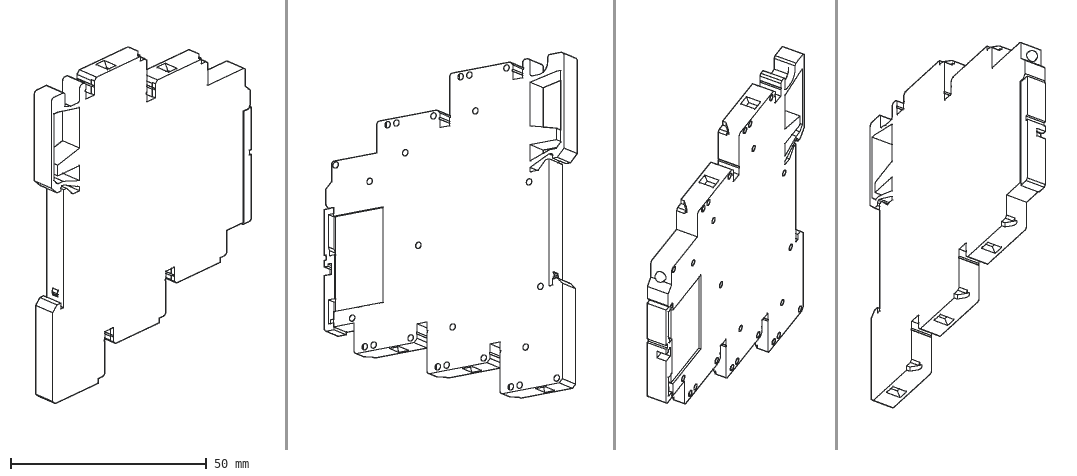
import cadquery as cq
import math

thickness = 6.1
depth = 74.2
height = 88.0

pitch_y = 22.5
pitch_z = 9.1
block_width = 19.5
slot_depth = 4.8
slot_width = pitch_y - block_width
corner_round = 0.9
corner_bevel = 1.0
top_blocks = [(35.3 + i * pitch_y, height - i * pitch_z) for i in (0, 1)]
bottom_blocks = [(19.8 + i * pitch_y, i * pitch_z) for i in (0, 1, 2)]
foot_front = 0.5
foot_width = bottom_blocks[0][0] - foot_front

rail_face = 4.6
upper_shelf = 70.6
lower_shelf = 26.4
rear_upper = 71.7
rear_bulge = 73.6
rear_lower = 71.1
arm_root = 10.5
slit_bottom = 57.7
slit_top = 58.9
lip_height = 60.2

cover_bottom = 25.7
cover_top = 58.3
cover_inset = 0.3
cover_pocket_depth = 2.6

pin_radius = 0.84
pin_depth = 0.1
pin_row_offset = 1.4
pin_row = (3.3, 6.1, 17.5)

panel_recess = 0.6
panel_front = 55.9
panel_rear = 70.9
panel_bottom = 30.45
panel_top = 55.9


def plate(points, x_start=0.0, x_end=thickness):
    """Prism along X over a (Y, Z) outline."""
    return cq.Workplane("YZ", origin=(x_start, 0, 0)).polyline(points).close().extrude(x_end - x_start)


def block(x_range, y_range, z_range):
    """Axis-aligned box from its three ranges."""
    (x0, x1), (y0, y1), (z0, z1) = x_range, y_range, z_range
    return cq.Workplane("XY").box(x1 - x0, y1 - y0, z1 - z0, centered=False).translate((x0, y0, z0))


def rod(y, z, radius, x_start, x_end):
    """Cylinder along X."""
    return cq.Workplane("YZ", origin=(x_start, y, z)).circle(radius).extrude(x_end - x_start)


def make_core():
    """Housing without terminal blocks, rail arm and cover."""
    (top_y0, top_z0), (top_y1, top_z1) = top_blocks
    (low_y0, low_z0), (low_y1, low_z1), (low_y2, low_z2) = bottom_blocks
    hook_back = 3.5
    hook_tip = 2.1
    hook_top = 28.1
    lip_root = 8.0
    lip_tip = 5.6
    bulge_top = 63.45
    shoulder_top = 65.2
    bulge_bevel_y = 0.8
    bulge_bevel_z = 1.1
    core = plate([
        (rear_upper, upper_shelf),
        (top_y1, upper_shelf),
        (top_y1, top_z1 - slot_depth),
        (top_y0, top_z1 - slot_depth),
        (top_y0, top_z0 - slot_depth),
        (arm_root, top_z0 - slot_depth),
        (arm_root, slit_bottom),
        (lip_root, slit_bottom),
        (lip_tip, lip_height),
        (rail_face, lip_height),
        (rail_face, lower_shelf),
        (hook_back, lower_shelf),
        (hook_back, hook_top),
        (hook_tip, hook_top),
        (foot_front, lower_shelf),
        (foot_front, low_z0 + slot_depth),
        (low_y0, low_z0 + slot_depth),
        (low_y0, low_z1 + slot_depth),
        (low_y1, low_z1 + slot_depth),
        (low_y1, low_z2 + slot_depth),
        (low_y2, low_z2 + slot_depth),
        (low_y2, lower_shelf),
        (rear_lower, lower_shelf),
        (rear_lower, cover_top),
        (rear_bulge - bulge_bevel_y, cover_top),
        (rear_bulge, cover_top + bulge_bevel_z),
        (rear_bulge, bulge_top),
        (rear_upper, shoulder_top),
    ])
    shelf_round = 0.8
    shelf_edge = cq.selectors.NearestToPointSelector((thickness / 2, rear_upper, upper_shelf))
    return core.edges(shelf_edge).fillet(shelf_round)


def make_terminal(width, has_relief):
    """Upward terminal block; its rear top corner is at Y = 0, Z = 0.

    The relief is a shallow step down the front face beside the +X side.
    """
    body = block((0, thickness), (-width, 0), (-slot_depth, 0))
    body = body.edges("|X and >Z and >Y").fillet(corner_round)
    body = body.edges("|X and >Z and <Y").chamfer(corner_bevel)

    pocket_depth = 1.3
    pocket_start = 3.0
    pocket_inner = 5.1
    pocket_length = 2.4
    floor_bevel = 0.6
    pocket = (
        cq.Workplane("XY", origin=(0, 0, -pocket_depth))
        .polyline([
            (pocket_start, 0),
            (pocket_inner, -pocket_length),
            (thickness, -pocket_length),
            (thickness, 0),
        ])
        .close()
        .extrude(pocket_depth)
    )
    bevel = plate(
        [(0, -pocket_depth), (-floor_bevel, -pocket_depth), (0, -pocket_depth - floor_bevel)],
        pocket_start + floor_bevel,
    )
    body = body.cut(pocket).cut(bevel)

    relief = 0.2
    if has_relief:
        body = body.cut(block((pocket_inner, thickness), (-width, -width + relief), (-slot_depth, 0)))

    window_front = -13.5
    window_length = 3.1
    window_depth = 1.8
    window_left, window_right = 1.0, 5.1
    floor_left, floor_right = 1.85, 4.4
    window = (
        cq.Workplane("XZ", origin=(0, window_front, 0))
        .polyline([
            (window_left, 0),
            (floor_left, -window_depth),
            (floor_right, -window_depth),
            (window_right, 0),
        ])
        .close()
        .extrude(-window_length)
    )
    return body.cut(window)


def add_terminals(body):
    """Upper blocks as made, lower blocks mirrored top to bottom."""
    for y, z in top_blocks:
        body = body.union(make_terminal(block_width, True).translate((0, y, z)))
    for i, (y, z) in enumerate(bottom_blocks):
        is_foot = i == 0
        width = foot_width if is_foot else block_width
        terminal = make_terminal(width, not is_foot).mirror("XY")
        body = body.union(terminal.translate((0, y, z)))
    return body


def cut_slot_grooves(body):
    """Small round grooves in both walls of the slot in front of each block."""
    groove_radius = 0.3
    groove_offset = 2.4
    slots = [(y - block_width, z - groove_offset) for y, z in top_blocks]
    slots += [(y - block_width, z + groove_offset) for y, z in bottom_blocks[1:]]
    for wall_y, z in slots:
        for y in (wall_y, wall_y - slot_width):
            body = body.cut(rod(y, z, groove_radius, 0, thickness))
    return body


def make_rail_arm():
    """Spring arm with a trough on top, and the opening to cut behind it."""
    trough_floor = height - slot_depth
    finger_rear = top_blocks[0][0] - pitch_y
    trough_round = 0.7
    finger_round = 1.0
    finger_ease = 0.5
    head_rear = 5.1
    head_round = 1.1
    head_ease = 0.5
    ramp_foot = 7.1
    ramp_step = 0.1
    ramp_rise = 0.6
    arc_mid = math.sqrt(0.5)

    hook_outer = 62.3
    hook_tip = 2.1
    hook_back = 3.5
    hook_step = 61.1
    strip_bottom = 61.5
    strip_bend = 4.7

    opening_rear_top = 81.6
    opening_front_top = height - slot_depth
    opening_front = 1.1
    opening_bevel_top = 64.1
    opening_floor = 62.7
    floor_bend = 4.4
    opening_rear_bottom = 60.6
    beam_tip = 2.4
    beam_bottom = 64.9
    beam_tip_top = 68.0
    beam_root_top = 70.0

    arm = (
        cq.Workplane("YZ")
        .moveTo(finger_rear, slit_top)
        .lineTo(finger_rear, height - finger_ease)
        .lineTo(finger_rear - finger_ease, height)
        .lineTo(arm_root + finger_round, height)
        .threePointArc(
            (arm_root + finger_round * (1 - arc_mid), height - finger_round * (1 - arc_mid)),
            (arm_root, height - finger_round),
        )
        .lineTo(arm_root, trough_floor + trough_round)
        .threePointArc(
            (arm_root - trough_round * (1 - arc_mid), trough_floor + trough_round * (1 - arc_mid)),
            (arm_root - trough_round, trough_floor),
        )
        .lineTo(ramp_foot, trough_floor)
        .lineTo(ramp_foot, trough_floor + ramp_step)
        .lineTo(head_rear, trough_floor + ramp_rise)
        .lineTo(head_rear, height - head_ease)
        .lineTo(head_rear - head_ease, height)
        .lineTo(head_round, height)
        .threePointArc(
            (head_round * (1 - arc_mid), height - head_round * (1 - arc_mid)),
            (0, height - head_round),
        )
        .lineTo(0, hook_outer)
        .lineTo(hook_tip, lip_height)
        .lineTo(hook_back, lip_height)
        .lineTo(hook_back, hook_step)
        .lineTo(hook_back + strip_bottom - hook_step, strip_bottom)
        .lineTo(strip_bend, strip_bottom)
        .lineTo(arm_root, slit_top)
        .close()
        .extrude(thickness)
    )
    opening = plate([
        (arm_root, opening_rear_top),
        (beam_tip, opening_front_top),
        (opening_front, opening_front_top),
        (opening_front, opening_bevel_top),
        (opening_front + opening_bevel_top - opening_floor, opening_floor),
        (floor_bend, opening_floor),
        (arm_root, opening_rear_bottom),
        (arm_root, beam_bottom),
        (beam_tip, beam_bottom),
        (beam_tip, beam_tip_top),
        (arm_root, beam_root_top),
    ])

    rib_width = 1.85
    rib_radius = 2.9
    rib_centre = (head_rear + rib_radius, trough_floor + rib_radius)
    rib = (
        cq.Workplane("YZ")
        .moveTo(head_rear, trough_floor)
        .lineTo(rib_centre[0], trough_floor)
        .threePointArc(
            (rib_centre[0] - rib_radius * arc_mid, rib_centre[1] - rib_radius * arc_mid),
            (head_rear, rib_centre[1]),
        )
        .close()
        .extrude(rib_width)
    )
    return arm.union(rib), opening


def make_cover():
    """Plain cover plate on the rear face, with a finger notch across it."""
    edge_bevel = 0.5
    notch_depth = 0.6
    notch_z = (44.7, 46.0)
    cover = block(
        (cover_inset, thickness - cover_inset),
        (rear_lower, depth),
        (cover_bottom, cover_top),
    )
    cover = cover.edges("|X and >Y and <Z").chamfer(edge_bevel)
    return cover.cut(block((0, thickness), (depth - notch_depth, depth), notch_z))


def cut_cover_pockets(body):
    """Pockets opening towards -X, reaching forward to the relay panel beside it."""
    x_range = (0, cover_inset + cover_pocket_depth)
    pocket_rear = 72.9
    pocket_step = 72.5
    low_pocket_bottom = 27.5
    ledge_top = 28.9
    ledge_depth = 0.9
    low_pocket_top = 34.0
    long_pocket_top = 56.7
    step_start = 48.05
    step_end = 47.0
    long_pocket_bottom = 45.7
    latch_front = 72.0
    latch_step = 73.0
    latch_bottom, latch_lip, latch_top = 40.7, 42.9, 43.6
    long_pocket = [
        (rear_lower, long_pocket_top),
        (pocket_rear, long_pocket_top),
        (pocket_rear, step_start),
        (pocket_step, step_end),
        (pocket_step, long_pocket_bottom),
        (panel_rear, long_pocket_bottom),
        (panel_rear, panel_top),
        (rear_lower, panel_top),
    ]
    low_pocket = [
        (panel_rear, low_pocket_top),
        (pocket_rear, low_pocket_top),
        (pocket_rear, low_pocket_bottom),
        (rear_lower, low_pocket_bottom),
        (rear_lower, panel_bottom),
        (panel_rear, panel_bottom),
    ]
    latch_pocket = [
        (depth, latch_bottom),
        (latch_front, latch_bottom),
        (latch_front, latch_top),
        (latch_step, latch_top),
        (latch_step, latch_lip),
        (depth, latch_lip),
    ]
    for outline in (long_pocket, low_pocket, latch_pocket):
        body = body.cut(plate(outline, *x_range))
    ledge = block(
        (cover_inset + ledge_depth, x_range[1]),
        (rear_lower, pocket_rear),
        (low_pocket_bottom, ledge_top),
    )
    return body.union(ledge)


def make_lamp():
    """Domed indicator lamp standing on the upper rear face."""
    lamp_radius = 1.4
    lamp_z = 66.9
    collar = 0.35
    lamp_x = thickness / 2
    lamp = cq.Workplane("XZ", origin=(lamp_x, rear_upper, lamp_z)).circle(lamp_radius).extrude(-collar)
    dome = cq.Workplane("XY").sphere(lamp_radius).translate((lamp_x, rear_upper + collar, lamp_z))
    return lamp.union(dome)


def add_latch(body):
    """Small wedge catch standing in a recess of the rail face."""
    catch_width = 1.85
    catch_bottom = 28.7
    catch_top = 30.6
    recess = 0.4
    catch_x = (thickness - catch_width) / 2
    x_range = (catch_x, catch_x + catch_width)
    inner = rail_face + recess
    tip = rail_face - 0.3
    tip_top = 29.7
    tip_bottom = 29.3
    body = body.cut(block(x_range, (rail_face, inner), (catch_bottom, catch_top)))
    wedge = [(inner, catch_top), (tip, tip_top), (tip, tip_bottom), (inner, tip_bottom)]
    return body.union(plate(wedge, *x_range))


def cut_pins(body):
    """Round pin marks sunk slightly into the -X side."""
    pins = [
        (27.4, 76.7),
        (49.0, 69.2),
        (60.0, 63.4),
        (70.5, 69.4),
        (45.0, 43.8),
        (10.8, 55.1),
        (65.4, 27.8),
        (34.4, 20.3),
        (11.9, 11.3),
        (7.3, 26.7),
    ]
    for offset in pin_row:
        pins += [(y - offset, z - pin_row_offset) for y, z in top_blocks]
        pins += [(y - offset, z + pin_row_offset) for y, z in bottom_blocks]
    for y, z in pins:
        body = body.cut(rod(y, z, pin_radius, 0, pin_depth))

    chord_offset = 0.4
    rear_pins = [(y - pin_row[0], z - pin_row_offset) for y, z in top_blocks]
    rear_pins += [(y - pin_row[0], z + pin_row_offset) for y, z in bottom_blocks]
    for y, z in rear_pins:
        pin = rod(y, z, pin_radius, 0, 2 * pin_depth)
        z_range = (z - pin_radius, z + pin_radius)
        front_part = block((0, thickness), (y - pin_radius, y + chord_offset), z_range)
        body = body.cut(pin.cut(front_part))
    return body


def cut_panel(body):
    """Relay panel recess, with a strip behind it level with the cover."""
    z_range = (panel_bottom, panel_top)
    body = body.cut(block((0, panel_recess), (panel_front, panel_rear), z_range))
    return body.cut(block((0, cover_inset), (panel_rear, rear_lower), z_range))


arm, arm_opening = make_rail_arm()
result = add_terminals(make_core()).union(arm).cut(arm_opening)
result = cut_slot_grooves(result)
result = result.union(make_cover()).union(make_lamp())
result = cut_cover_pockets(cut_panel(result))
result = cut_pins(add_latch(result))